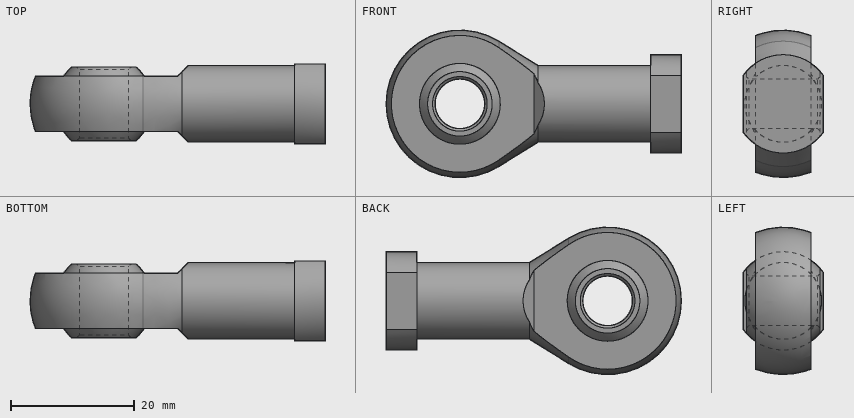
import cadquery as cq
import math

HEAD_RADIUS = 12.0
HEAD_THICKNESS = 9.0
SHANK_DIAMETER = 12.5
NECK_TANGENT_X = 6.35
FLAT_END_X = 12.0
SHANK_END_X = 36.0

COLLAR_DIAMETER = 16.0
COLLAR_LENGTH = 5.0
COLLAR_ACROSS_FLATS = 13.0

BALL_DIAMETER = 15.95
BALL_WIDTH = 12.0
BORE_DIAMETER = 8.0
BORE_CHAMFER = 0.45


def make_body():
    """Sphere, tangent neck cone, shank and collar turned about the X axis."""
    shank_radius = SHANK_DIAMETER / 2
    collar_radius = COLLAR_DIAMETER / 2
    collar_start_x = SHANK_END_X - COLLAR_LENGTH
    tangent_radius = math.sqrt(HEAD_RADIUS**2 - NECK_TANGENT_X**2)
    neck_end_x = (HEAD_RADIUS**2 - tangent_radius * shank_radius) / NECK_TANGENT_X
    return (
        cq.Workplane("XY")
        .moveTo(-HEAD_RADIUS, 0)
        .threePointArc((0, HEAD_RADIUS), (NECK_TANGENT_X, tangent_radius))
        .lineTo(neck_end_x, shank_radius)
        .lineTo(collar_start_x, shank_radius)
        .lineTo(collar_start_x, collar_radius)
        .lineTo(SHANK_END_X, collar_radius)
        .lineTo(SHANK_END_X, 0)
        .close()
        .revolve(360, (0, 0, 0), (1, 0, 0))
    )


def make_flats_envelope():
    """Prism limiting Y: head flats, 45 degree shoulders, then collar flats."""
    head_half = HEAD_THICKNESS / 2
    collar_half = COLLAR_ACROSS_FLATS / 2
    shoulder_end_x = FLAT_END_X + collar_half - head_half
    return (
        cq.Workplane("XY")
        .moveTo(-HEAD_RADIUS, -head_half)
        .lineTo(FLAT_END_X, -head_half)
        .lineTo(shoulder_end_x, -collar_half)
        .lineTo(SHANK_END_X, -collar_half)
        .lineTo(SHANK_END_X, collar_half)
        .lineTo(shoulder_end_x, collar_half)
        .lineTo(FLAT_END_X, head_half)
        .lineTo(-HEAD_RADIUS, head_half)
        .close()
        .extrude(HEAD_RADIUS, both=True)
    )


def make_ball():
    """Ball of the bearing, cut flat at both ends along Y."""
    ball = cq.Workplane("XY").sphere(BALL_DIAMETER / 2)
    limits = cq.Workplane("XY").box(BALL_DIAMETER, BALL_WIDTH, BALL_DIAMETER)
    return ball.intersect(limits)


def make_bore():
    """Through bore along Y with a 45 degree chamfer at each mouth."""
    bore_radius = BORE_DIAMETER / 2
    mouth_radius = bore_radius + BORE_CHAMFER
    half_width = BALL_WIDTH / 2
    chamfer_start = half_width - BORE_CHAMFER
    return (
        cq.Workplane("XY")
        .moveTo(0, -half_width)
        .lineTo(mouth_radius, -half_width)
        .lineTo(bore_radius, -chamfer_start)
        .lineTo(bore_radius, chamfer_start)
        .lineTo(mouth_radius, half_width)
        .lineTo(0, half_width)
        .close()
        .revolve(360, (0, 0, 0), (0, 1, 0))
    )


rod_end = make_body().intersect(make_flats_envelope())
result = rod_end.union(make_ball()).cut(make_bore())